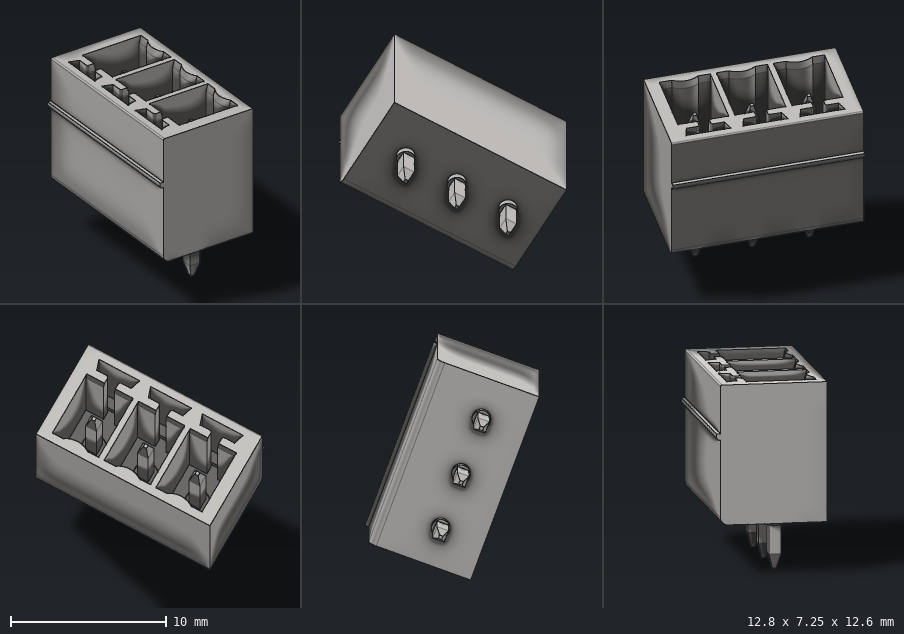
import cadquery as cq
import math


width = 12.82
depth = 7.0
height = 9.19
back_y = 3.03
front_y = back_y - depth
bottom_front_radius = 0.5
top_front_radius = 0.1

ledge_depth = 0.25
ledge_height = 0.42
ledge_top_z = height - 3.19
ledge_radius = 0.2

pole_count = 3
pitch = 3.81
socket_half_width = 3.4 / 2
floor_z = 2.0
mouth_back_y = back_y - 0.58
mouth_front_y = back_y - 5.14
lead_in_height = 0.5
lead_in_angle = 15.0
lead_in = lead_in_height * math.tan(math.radians(lead_in_angle))

key_half_width = 0.88
key_bulge = 0.28

neck_half_width = 0.4
neck_corner_radius = 0.15
slot_back_y = back_y - 5.67
slot_front_y = back_y - 6.38
slot_back_half_width = 1.27
slot_front_half_width = 1.5
slot_step = 0.03
slot_floor_z = floor_z + 0.5

boss_diameter = 1.6
boss_height = 0.2
standoff_diameter = 1.2
standoff_height = 0.5
pin_side = 0.8
tip_length = 1.0
tip_side = 0.24
pin_top_z = height - 1.1
pin_bottom_z = -3.41


def make_housing():
    """Block with rounded front edges and a ledge along its front face."""
    block = cq.Workplane("XY").box(width, depth, height, centered=(True, False, False))
    block = block.translate((0, front_y, 0))
    block = block.faces("<Y").edges("<Z").fillet(bottom_front_radius)
    block = block.faces("<Y").edges(">Z").fillet(top_front_radius)

    overlap = ledge_depth
    ledge = cq.Workplane("XY").box(
        width, ledge_depth + overlap, ledge_height, centered=(True, False, False)
    )
    ledge = ledge.faces("<Y").edges("<Z").fillet(ledge_radius)
    ledge = ledge.translate((0, front_y - ledge_depth, ledge_top_z - ledge_height))
    return block.union(ledge)


def draw_socket(plane, inset):
    """Socket outline whose back and front walls stand inward by inset."""
    wall_back_y = mouth_back_y - inset
    wall_front_y = mouth_front_y + inset
    return (
        plane.moveTo(-socket_half_width, wall_front_y)
        .lineTo(socket_half_width, wall_front_y)
        .lineTo(socket_half_width, wall_back_y)
        .lineTo(key_half_width, wall_back_y)
        .threePointArc((0, wall_back_y - key_bulge), (-key_half_width, wall_back_y))
        .lineTo(-socket_half_width, wall_back_y)
        .close()
    )


def make_dovetail():
    """Dovetail slot that widens toward the front, open at the top."""
    return (
        cq.Workplane("XY", origin=(0, 0, slot_floor_z))
        .polyline([
            (-slot_back_half_width, slot_back_y),
            (slot_back_half_width, slot_back_y),
            (slot_front_half_width, slot_front_y),
            (-slot_front_half_width, slot_front_y),
        ])
        .close()
        .extrude(height - slot_floor_z)
    )


def make_neck():
    """Passage from socket to slot, with rounded corners at the slot.

    At socket depth it reaches a small step into the slot across its full back width.
    """
    mouth_half_width = neck_half_width + neck_corner_radius
    arc_start_y = slot_back_y + neck_corner_radius
    step_y = slot_back_y - slot_step
    arc_mid = neck_corner_radius * (1 - math.sqrt(0.5))
    inner_y = mouth_front_y + lead_in
    return (
        cq.Workplane("XY", origin=(0, 0, floor_z))
        .moveTo(-neck_half_width, inner_y)
        .lineTo(neck_half_width, inner_y)
        .lineTo(neck_half_width, arc_start_y)
        .threePointArc(
            (neck_half_width + arc_mid, slot_back_y + arc_mid),
            (mouth_half_width, slot_back_y),
        )
        .lineTo(slot_back_half_width, slot_back_y)
        .lineTo(slot_back_half_width, step_y)
        .lineTo(-slot_back_half_width, step_y)
        .lineTo(-slot_back_half_width, slot_back_y)
        .lineTo(-mouth_half_width, slot_back_y)
        .threePointArc(
            (-neck_half_width - arc_mid, slot_back_y + arc_mid),
            (-neck_half_width, arc_start_y),
        )
        .close()
        .extrude(height - floor_z)
    )


def make_socket():
    """Space removed for one pole: socket, sloped lead-in, neck and dovetail slot."""
    lead_in_z = height - lead_in_height
    well_plane = cq.Workplane("XY", origin=(0, 0, floor_z))
    well = draw_socket(well_plane, lead_in).extrude(height - floor_z)

    mouth_plane = cq.Workplane("XY", origin=(0, 0, lead_in_z))
    mouth = draw_socket(mouth_plane, lead_in).workplane(offset=lead_in_height)
    mouth = draw_socket(mouth, 0).loft(ruled=True)

    return well.union(mouth).union(make_neck()).union(make_dovetail())


def make_tip(base_z, direction):
    """Pyramid end of a pin, pointing up (direction 1) or down (direction -1)."""
    return (
        cq.Workplane("XY", origin=(0, 0, base_z))
        .rect(pin_side, pin_side)
        .workplane(offset=direction * tip_length)
        .rect(tip_side, tip_side)
        .loft(ruled=True)
    )


def make_pin():
    """Square pin with two tapered ends, its floor boss and its standoff."""
    shank_bottom_z = pin_bottom_z + tip_length
    shank_top_z = pin_top_z - tip_length
    shank = (
        cq.Workplane("XY", origin=(0, 0, shank_bottom_z))
        .rect(pin_side, pin_side)
        .extrude(shank_top_z - shank_bottom_z)
    )
    boss = cq.Workplane("XY").circle(boss_diameter / 2).extrude(floor_z + boss_height)
    standoff = cq.Workplane("XY").circle(standoff_diameter / 2).extrude(-standoff_height)
    pin = shank.union(make_tip(shank_top_z, 1)).union(make_tip(shank_bottom_z, -1))
    return pin.union(boss).union(standoff)


result = make_housing()
for pole in range(pole_count):
    pole_x = (pole - (pole_count - 1) / 2) * pitch
    result = result.cut(make_socket().translate((pole_x, 0, 0)))
    result = result.union(make_pin().translate((pole_x, 0, 0)))